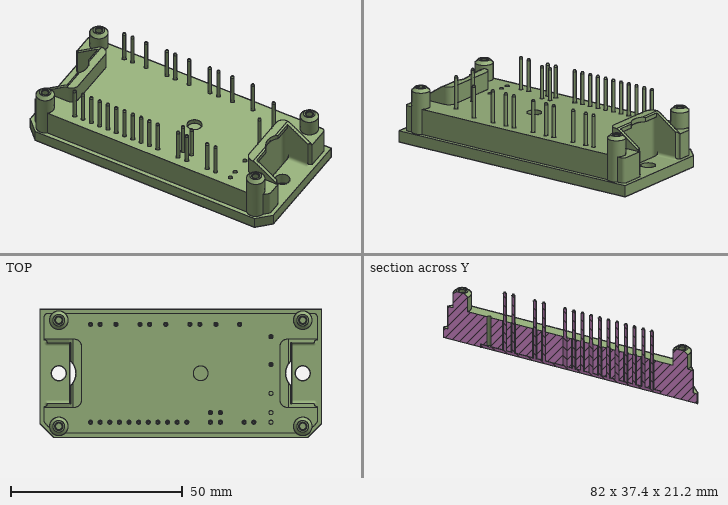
import cadquery as cq

flange_length = 82.0
flange_width = 37.4
flange_height = 3.5
flange_chamfer = 4.0

block_length = 79.5
block_width = 34.8
block_top = 11.25
block_corner_radius = 1.0
block_chamfer = 3.1
block_chamfer_blend = 0.8

post_spacing_x = 71.0
post_spacing_y = 30.9
post_diameter = 5.4
post_top = 17.2
post_chamfer = 1.0
screw_hole_diameter = 1.9
screw_hole_mouth_diameter = 2.4
screw_hole_depth = 8.0

bay_outer_width = 19.9
bay_inner_width = 17.7
bay_top = 16.7
bay_back_x = 28.85
bay_back_radius = 2.25
rib_break_x = 32.4
rib_break_z = 16.25
bevel_end_x = 31.4
bay_front_x = 32.0
overhang_bottom = 15.2
slot_outer_x = 32.3
slot_inner_x = 30.5
slot_corner_radius = 1.1
rib_end_radius = 0.9
floor_fillet = 1.0
mount_hole_diameter = 4.3
washer_diameter = 9.9

fill_hole_diameter = 4.3
fill_hole_x = 5.8
fill_hole_depth = 1.4

substrate_length = 58.0
substrate_width = 32.0
substrate_thickness = 1.0
pin_diameter = 1.0
pin_tip_diameter = 0.5
pin_tip_length = 0.5
pin_top = 21.23
pin_hole_diameter = 1.2

pin_field_length = 52.5
pin_field_width = 28.5
pin_pitch = 2.8
front_comb_count = 11
second_row_y = pin_pitch
front_pair_x = [34.9, 37.8]
front_outer_x = [44.7, 47.5]
back_row_x = [0.0, 2.8, 7.4, 14.4, 17.2, 21.9, 28.9, 31.8, 36.5, 43.4]
end_pin_y = [16.8, 24.9]
end_spare_y = [0.0, second_row_y, 8.4]

comb = [(i * pin_pitch, 0.0) for i in range(front_comb_count)]
front_row = [(x, 0.0) for x in front_pair_x + front_outer_x]
second_row = [(x, second_row_y) for x in front_pair_x]
back_row = [(x, pin_field_width) for x in back_row_x]
end_column = [(pin_field_length, y) for y in end_pin_y]
spare_column = [(pin_field_length, y) for y in end_spare_y]


def centred(points):
    """Shift pin-field coordinates so that the field is centred on the module."""
    return [(x - pin_field_length / 2, y - pin_field_width / 2) for x, y in points]


pin_points = centred(comb + front_row + second_row + back_row + end_column)
spare_points = centred(spare_column)


def cylinder(points, diameter, bottom, top):
    """Upright cylinders at the given points."""
    base = cq.Workplane().workplane(offset=bottom).pushPoints(points)
    return base.circle(diameter / 2).extrude(top - bottom)


def box(x_start, x_end, width, bottom, top):
    """Box between two X positions, centred on Y = 0."""
    return (
        cq.Workplane()
        .box(x_end - x_start, width, top - bottom, centered=(False, True, False))
        .translate((x_start, 0, bottom))
    )


def make_flange():
    flange = cq.Workplane().box(flange_length, flange_width, flange_height, centered=(True, True, False))
    return flange.edges("|Z and <Y").chamfer(flange_chamfer)


def make_block():
    block = cq.Workplane().box(block_length, block_width, block_top, centered=(True, True, False))
    block = block.edges("|Z and >Y").fillet(block_corner_radius)
    block = block.edges("|Z and <Y").chamfer(block_chamfer)
    return block.edges("|Z and (<X or >X)").edges("<Y").fillet(block_chamfer_blend)


def make_post():
    post = cylinder([(0, 0)], post_diameter, 0, post_top)
    return post.faces(">Z").chamfer(post_chamfer)


def make_screw_hole():
    """Blind hole with a 45 degree lead-in, open at the top of a post."""
    hole_radius = screw_hole_diameter / 2
    mouth_radius = screw_hole_mouth_diameter / 2
    bottom = post_top - screw_hole_depth
    lead_in_start = post_top - (mouth_radius - hole_radius)
    return (
        cq.Workplane("XZ")
        .moveTo(0, bottom)
        .lineTo(hole_radius, bottom)
        .lineTo(hole_radius, lead_in_start)
        .lineTo(mouth_radius, post_top)
        .lineTo(0, post_top)
        .close()
        .revolve(360, (0, 0, 0), (0, 1, 0))
    )


def make_bay_body():
    """Raised end wall with its two sloping ribs, at the +X end."""
    block_end = block_length / 2
    body = box(bay_back_x, block_end, bay_outer_width, 0, bay_top)
    body = body.edges("|Z and <X").fillet(bay_back_radius)
    profile = (
        cq.Workplane("XZ")
        .moveTo(bay_back_x, 0)
        .lineTo(bay_back_x, bay_top)
        .lineTo(bevel_end_x, bay_top)
        .lineTo(rib_break_x, rib_break_z)
        .lineTo(block_end, block_top)
        .lineTo(block_end, 0)
        .close()
        .extrude(bay_outer_width / 2, both=True)
    )
    return body.intersect(profile)


def make_bay_opening():
    """Space between the ribs, the undercut with its slot, and the screw clearance, at the +X end."""
    block_end = block_length / 2
    mouth_half = bay_inner_width / 2
    bay = box(bay_front_x, block_end, bay_inner_width, flange_height, bay_top)
    for side in (-1, 1):
        flare = (
            cq.Workplane()
            .workplane(offset=flange_height)
            .moveTo(block_end - rib_end_radius, side * mouth_half)
            .radiusArc((block_end, side * (mouth_half + rib_end_radius)), side * rib_end_radius)
            .lineTo(block_end, side * mouth_half)
            .close()
            .extrude(bay_top - flange_height)
        )
        bay = bay.union(flare)
    slot = box(slot_inner_x, slot_outer_x, bay_inner_width, 0, overhang_bottom)
    slot = slot.edges("|Z and <X").fillet(slot_corner_radius)
    mount_centre = [(post_spacing_x / 2, 0)]
    washer = cylinder(mount_centre, washer_diameter, flange_height, bay_top)
    mount_hole = cylinder(mount_centre, mount_hole_diameter, 0, flange_height)
    return bay.union(slot).union(washer).union(mount_hole)


def floor_fillet_profile(plane):
    """Concave triangle in the given plane, its upright side on the plane's vertical axis."""
    return (
        cq.Workplane(plane)
        .moveTo(0, 0)
        .lineTo(floor_fillet, 0)
        .radiusArc((0, floor_fillet), floor_fillet)
        .close()
    )


def make_floor_fillet():
    """Concave blend between the +Y rib and the flange at the +X end, rounded off at the rib's tip."""
    strip_end = block_length / 2 - floor_fillet
    plane = cq.Plane(origin=(0, 0, 0), xDir=(0, -1, 0), normal=(-1, 0, 0))
    strip = floor_fillet_profile(plane).extrude(strip_end - slot_outer_x)
    tip = floor_fillet_profile("XZ").revolve(360, (0, 0, 0), (0, 1, 0))
    return strip.union(tip).translate((strip_end, bay_inner_width / 2, flange_height))


def at_both_ends(housing, feature, combine):
    """Apply a +X end feature and its mirror image to the housing."""
    housing = combine(housing, feature)
    return combine(housing, feature.mirror("YZ"))


def make_substrate_blank():
    """Bare substrate plate, which also shapes its recess in the underside of the housing."""
    return cq.Workplane().box(
        substrate_length, substrate_width, substrate_thickness, centered=(True, True, False)
    )


def make_housing():
    housing = make_flange().union(make_block())
    housing = at_both_ends(housing, make_bay_body(), cq.Workplane.union)
    housing = at_both_ends(housing, make_bay_opening(), cq.Workplane.cut)
    blend = make_floor_fillet()
    housing = at_both_ends(housing, blend, cq.Workplane.union)
    housing = at_both_ends(housing, blend.mirror("XZ"), cq.Workplane.union)

    post = make_post()
    screw_hole = make_screw_hole()
    post_points = [
        (sx * post_spacing_x / 2, sy * post_spacing_y / 2) for sx in (-1, 1) for sy in (-1, 1)
    ]
    for x, y in post_points:
        housing = housing.union(post.translate((x, y, 0)))
        housing = housing.cut(screw_hole.translate((x, y, 0)))

    fill_hole = cylinder([(fill_hole_x, 0)], fill_hole_diameter, block_top - fill_hole_depth, block_top)
    housing = housing.cut(fill_hole)
    housing = housing.cut(make_substrate_blank())
    return housing.cut(cylinder(pin_points + spare_points, pin_hole_diameter, 0, block_top))


def make_substrate():
    """Substrate plate carrying every contact pin."""
    pin = cylinder([(0, 0)], pin_diameter, 0, pin_top)
    tip_inset = (pin_diameter - pin_tip_diameter) / 2
    pin = pin.faces(">Z").chamfer(pin_tip_length, tip_inset)
    substrate = make_substrate_blank()
    for x, y in pin_points:
        substrate = substrate.union(pin.translate((x, y, 0)))
    return substrate


housing = make_housing()
substrate = make_substrate()

result = cq.Compound.makeCompound([housing.solids().val(), substrate.solids().val()])